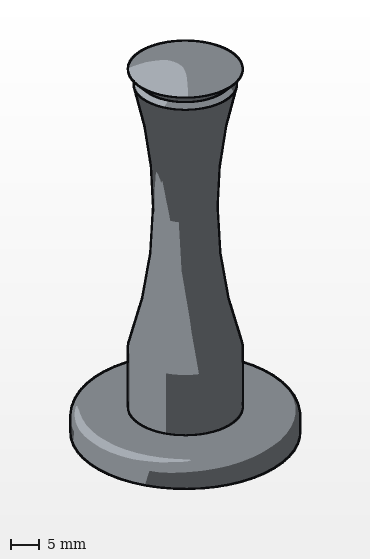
import cadquery as cq
import math

total_height = 75.0
base_radius = 40.0 / 2
base_height = 5.0
base_rounding = 2.0

post_radius = base_radius / 2
waist_radius = 5.6
rim_radius = 9.0
groove_radius = 8.0

foot_top = 17.0
waist_height = 45.0
groove_height = 70.5
rim_height = groove_height - (rim_radius - groove_radius)
head_edge_height = 72.5


def flare_midpoint(end_radius, end_height):
    """Middle point of an arc that leaves the waist vertically and flares to the given end."""
    flare = end_radius - waist_radius
    rise = end_height - waist_height
    arc_radius = (flare**2 + rise**2) / (2 * flare)
    half_angle = math.atan2(flare, abs(rise))
    mid_radius = waist_radius + arc_radius * (1 - math.cos(half_angle))
    mid_height = waist_height + math.copysign(arc_radius * math.sin(half_angle), rise)
    return mid_radius, mid_height


def dome_midpoint():
    """Middle point of the dome arc from the head edge to the crown on the axis."""
    dome_height = total_height - head_edge_height
    sphere_radius = (post_radius**2 + dome_height**2) / (2 * dome_height)
    half_angle = math.atan2(dome_height, post_radius)
    mid_radius = sphere_radius * math.sin(half_angle)
    mid_height = total_height - sphere_radius * (1 - math.cos(half_angle))
    return mid_radius, mid_height


def make_base():
    """Flat disc with a rounded upper edge."""
    disc = cq.Workplane("XY").circle(base_radius).extrude(base_height)
    return disc.faces(">Z").edges().fillet(base_rounding)


def make_post():
    """Turned post standing on the base: foot, waisted shaft, V-groove and domed head."""
    profile = (
        cq.Workplane("XZ")
        .moveTo(0, base_height)
        .lineTo(post_radius, base_height)
        .lineTo(post_radius, foot_top)
        .threePointArc(flare_midpoint(post_radius, foot_top), (waist_radius, waist_height))
        .threePointArc(flare_midpoint(rim_radius, rim_height), (rim_radius, rim_height))
        .lineTo(groove_radius, groove_height)
        .lineTo(post_radius, head_edge_height)
        .threePointArc(dome_midpoint(), (0, total_height))
        .close()
    )
    return profile.revolve(360, (0, 0, 0), (0, 1, 0))


base = make_base()
post = make_post()

result = cq.Compound.makeCompound([base.val(), post.val()])